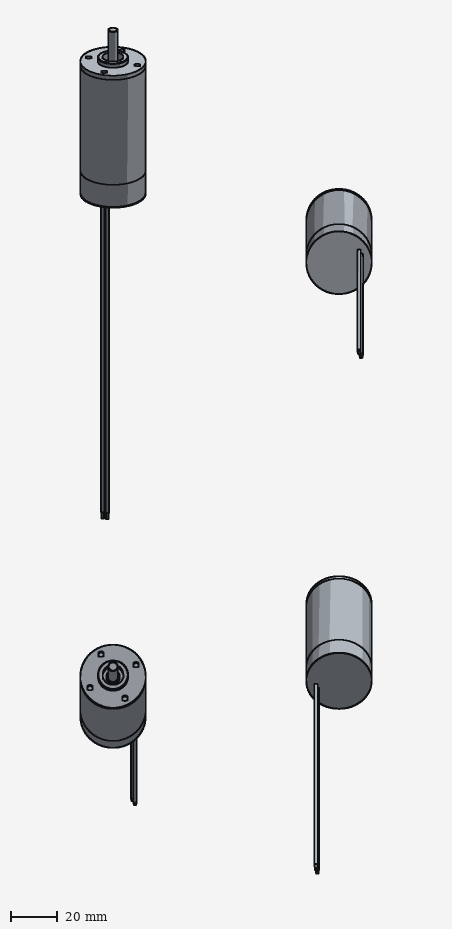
import cadquery as cq

LEAD_LENGTH = 150.0
BASE_THICKNESS = 0.5
REAR_CAP_LENGTH = 10.5
BARREL_LENGTH = 50.0
FRONT_PLATE_THICKNESS = 2.0
BOSS_HEIGHT = 2.0
OVERALL_LENGTH = 227.8

BASE_BOTTOM = LEAD_LENGTH
REAR_CAP_BOTTOM = BASE_BOTTOM + BASE_THICKNESS
BARREL_BOTTOM = REAR_CAP_BOTTOM + REAR_CAP_LENGTH
PLATE_BOTTOM = BARREL_BOTTOM + BARREL_LENGTH
PLATE_TOP = PLATE_BOTTOM + FRONT_PLATE_THICKNESS
BOSS_TOP = PLATE_TOP + BOSS_HEIGHT

BODY_DIAMETER = 28.0

BOSS_DIAMETER = 13.0
BOSS_CHAMFER = 0.27
BOSS_WALL = 2.0
RECESS_DIAMETER = BOSS_DIAMETER - 2 * BOSS_WALL
RECESS_DEPTH = 3.5
RECESS_FLOOR = BOSS_TOP - RECESS_DEPTH
MOUNTING_HOLE_DIAMETER = 2.5
MOUNTING_HOLE_COUNT = 4
MOUNTING_CIRCLE_DIAMETER = 22.0

SHAFT_DIAMETER = 4.0
SHAFT_CHAMFER = 0.2
BEARING_DIAMETER = 6.0
BEARING_LENGTH = 4.5
BEARING_CHAMFER = 0.5
BEARING_BOTTOM = RECESS_FLOOR - BEARING_LENGTH

INSULATION_DIAMETER = 1.5
CONDUCTOR_DIAMETER = 1.2
BARE_LENGTH = 3.0
LEAD_SPACING = 2.0
LEAD_Y = -10.0


def cylinder(diameter, bottom, top, x=0.0, y=0.0):
    """Upright cylinder between two heights."""
    return cq.Workplane("XY", origin=(x, y, bottom)).circle(diameter / 2).extrude(top - bottom)


def make_base():
    """Thin disc that closes the rear end."""
    return cylinder(BODY_DIAMETER, BASE_BOTTOM, REAR_CAP_BOTTOM)


def make_rear_cap():
    """Short rear section of the body."""
    return cylinder(BODY_DIAMETER, REAR_CAP_BOTTOM, BARREL_BOTTOM)


def make_barrel():
    """Main body, with a seat for the lower part of the bearing."""
    bearing_seat = cylinder(BEARING_DIAMETER, BEARING_BOTTOM, PLATE_BOTTOM)
    return cylinder(BODY_DIAMETER, BARREL_BOTTOM, PLATE_BOTTOM).cut(bearing_seat)


def make_front_plate():
    """Flange with a chamfered, recessed boss and a ring of mounting holes."""
    flange = cylinder(BODY_DIAMETER, PLATE_BOTTOM, PLATE_TOP)
    boss = cylinder(BOSS_DIAMETER, PLATE_TOP, BOSS_TOP).faces(">Z").edges().chamfer(BOSS_CHAMFER)
    recess = cylinder(RECESS_DIAMETER, RECESS_FLOOR, BOSS_TOP)
    bearing_hole = cylinder(BEARING_DIAMETER, PLATE_BOTTOM, RECESS_FLOOR)
    mounting_holes = (
        cq.Workplane("XY", origin=(0, 0, PLATE_BOTTOM))
        .polarArray(MOUNTING_CIRCLE_DIAMETER / 2, 0, 360, MOUNTING_HOLE_COUNT)
        .circle(MOUNTING_HOLE_DIAMETER / 2)
        .extrude(FRONT_PLATE_THICKNESS)
    )
    return flange.union(boss).cut(recess).cut(bearing_hole).cut(mounting_holes)


def make_bearing():
    """Plain bush, level with the recess floor, with a chamfered bore."""
    bush = cylinder(BEARING_DIAMETER, BEARING_BOTTOM, RECESS_FLOOR)
    bore = cylinder(SHAFT_DIAMETER, BEARING_BOTTOM, RECESS_FLOOR)
    bore_edge = cq.selectors.RadiusNthSelector(0)
    return bush.cut(bore).faces(">Z").edges(bore_edge).chamfer(BEARING_CHAMFER)


def make_shaft():
    """Output shaft, from the bottom of the bearing to its chamfered tip."""
    rod = cylinder(SHAFT_DIAMETER, BEARING_BOTTOM, OVERALL_LENGTH)
    return rod.faces(">Z").edges().chamfer(SHAFT_CHAMFER)


def make_insulation(x):
    """Sleeve of one lead, up to the rear face of the motor."""
    return cylinder(INSULATION_DIAMETER, BARE_LENGTH, BASE_BOTTOM, x, LEAD_Y)


def make_conductor(x):
    """Stripped end of one lead."""
    return cylinder(CONDUCTOR_DIAMETER, 0, BARE_LENGTH, x, LEAD_Y)


bodies = [
    make_base(),
    make_rear_cap(),
    make_barrel(),
    make_front_plate(),
    make_bearing(),
    make_shaft(),
]
for side in (-1, 1):
    lead_x = side * LEAD_SPACING / 2
    bodies.append(make_insulation(lead_x))
    bodies.append(make_conductor(lead_x))

result = cq.Compound.makeCompound([body.val() for body in bodies])